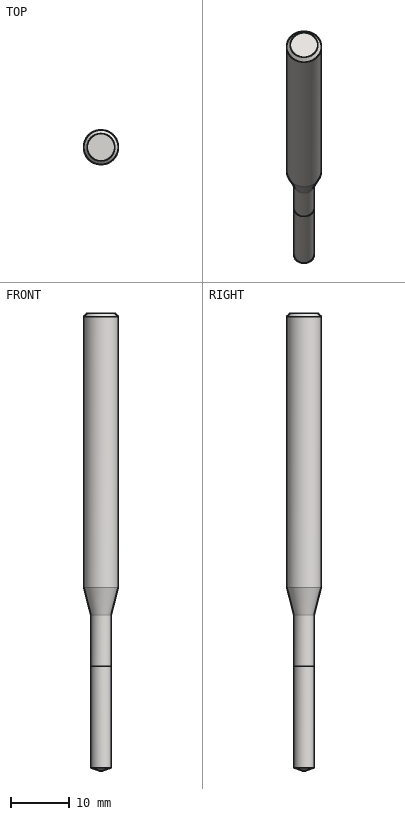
import cadquery as cq
import math

total_length = 78.65
shank_diameter = 6.0
drill_diameter = 3.5
point_angle = 140.0

drill_top = 18.1
taper_bottom = 26.9
taper_top = 31.6
end_chamfer = 0.6

shank_radius = shank_diameter / 2
drill_radius = drill_diameter / 2
point_height = drill_radius / math.tan(math.radians(point_angle / 2))


def make_turned_body(profile):
    """Revolve a closed (radius, height) profile about the Z axis."""
    return cq.Workplane("XZ").polyline(profile).close().revolve(360, (0, 0), (0, 1))


def make_shank():
    """Chamfered shank that tapers down to the neck."""
    return make_turned_body([
        (0, drill_top),
        (drill_radius, drill_top),
        (drill_radius, taper_bottom),
        (shank_radius, taper_top),
        (shank_radius, total_length - end_chamfer),
        (shank_radius - end_chamfer, total_length),
        (0, total_length),
    ])


def make_cutting_part():
    """Cylindrical cutting part with a conical point."""
    return make_turned_body([
        (0, 0),
        (drill_radius, point_height),
        (drill_radius, drill_top),
        (0, drill_top),
    ])


shank = make_shank()
cutting_part = make_cutting_part()

result = cq.Compound.makeCompound([shank.val(), cutting_part.val()])